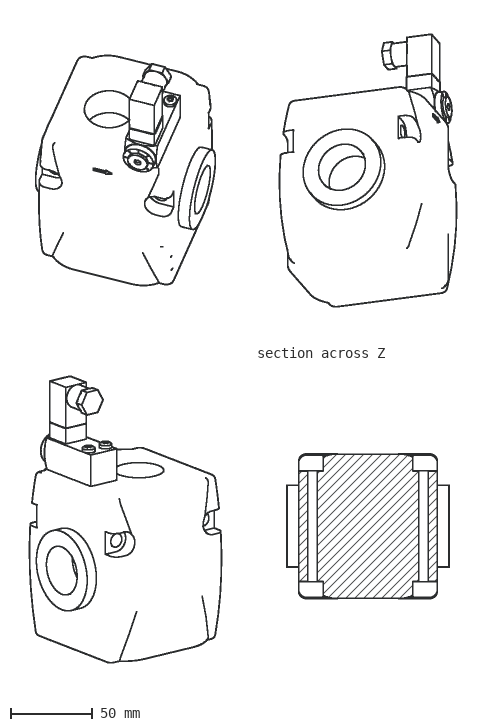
import cadquery as cq
import math

HOUSING_LENGTH = 84.7
HOUSING_DEPTH = 88.4
HOUSING_HEIGHT = 104.8
FACE_FLAT_WIDTH = 37.7
CORE_CORNER_RADIUS = 22.5
COLUMN_TAPER = 6.8
COLUMN_FILLET = 4.8
RIM_FILLET = 3.0

FLANGE_DIAMETER = 50.0
FLANGE_SPAN = 99.0
BORE_DIAMETER = 30.3
BORE_DEPTH = 20.1
TOP_BORE_X = -10.5

LUG_HOLE_DIAMETER = 8.5
LUG_POCKET_DIAMETER = 14.5
LUG_X = 33.8
LUG_Z = 24.8
LUG_POCKET_FLOOR = 33.8

ARROW_LENGTH = 11.9
ARROW_HEAD_LENGTH = 3.9
ARROW_HEAD_WIDTH = 3.5
ARROW_SHAFT_WIDTH = 1.8
ARROW_DEPTH = 0.3
ARROW_DROP = 6.6

TOTAL_HEIGHT = 161.0
TOTAL_DEPTH = 88.5
VALVE_X = 22.5
BLOCK_WIDTH = 20.3
BLOCK_HEIGHT = 20.1
BLOCK_BACK_Y = 7.2
BLOCK_FRONT_Y = -38.6
BLOCK_CHAMFER_ANGLE = 30.0

DIAL_DIAMETER = 19.5
DIAL_THICKNESS = 4.0
DIAL_MARKS = 8
MARK_WIDTH = 0.2
MARK_DEPTH = 0.2
HUB_DIAMETER = 12.5
HUB_HOLE_DIAMETER = 4.0
HUB_HOLE_DEPTH = 1.6

SCREW_MID_X = 22.2
SCREW_PITCH = 13.0
SCREW_Y = 0.2
SCREW_HEAD_DIAMETER = 7.7
SCREW_RIM_HEIGHT = 2.0
SCREW_HEAD_HEIGHT = 3.5
SOCKET_LOBES = 6
SOCKET_OUTER_DIAMETER = 4.0
SOCKET_INNER_DIAMETER = 2.9
SOCKET_DEPTH = 1.6

PLUG_Y = -28.0
PLUG_BASE_SIZE = 17.0
PLUG_BASE_HEIGHT = 9.8
PLUG_BASE_FILLET = 2.0
PLUG_SIZE = 16.0
GLAND_DIAMETER = 14.5
GLAND_NUT_BACK_Y = -4.0
GLAND_NUT_LENGTH = 5.3
GLAND_NUT_SIDES = 6

TOP_Z = HOUSING_HEIGHT / 2
FRONT_Y = -HOUSING_DEPTH / 2
HUB_FRONT_Y = HOUSING_DEPTH / 2 - TOTAL_DEPTH


def cylinder_along_y(diameter, x, z, start_y, end_y):
    """Cylinder parallel to Y between two Y positions."""
    plane = cq.Plane(origin=(x, start_y, z), xDir=(1, 0, 0), normal=(0, 1, 0))
    return cq.Workplane(plane).circle(diameter / 2).extrude(end_y - start_y)


def housing_core():
    """Rounded block with flat front and back strips."""
    width = FACE_FLAT_WIDTH + 2 * CORE_CORNER_RADIUS
    core = cq.Workplane("XY").box(width, HOUSING_DEPTH, HOUSING_HEIGHT)
    core = core.edges("|Z").fillet(CORE_CORNER_RADIUS)
    return core.faces("<Z or >Z").edges().fillet(RIM_FILLET)


def corner_columns():
    """Full-length block whose front and back faces bulge at mid height."""
    mid_y = HOUSING_DEPTH / 2
    end_y = mid_y - COLUMN_TAPER
    columns = (
        cq.Workplane("YZ")
        .moveTo(-end_y, -TOP_Z)
        .lineTo(end_y, -TOP_Z)
        .threePointArc((mid_y, 0), (end_y, TOP_Z))
        .lineTo(-end_y, TOP_Z)
        .threePointArc((-mid_y, 0), (-end_y, -TOP_Z))
        .close()
        .extrude(HOUSING_LENGTH / 2, both=True)
    )
    columns = columns.faces("<X or >X").edges("not(|Y)").fillet(COLUMN_FILLET)
    return columns.faces("<Z or >Z").edges().fillet(RIM_FILLET)


def side_flanges():
    """Pipe flanges on the two X sides, on the port axis."""
    return cq.Workplane("YZ").circle(FLANGE_DIAMETER / 2).extrude(FLANGE_SPAN / 2, both=True)


def port_bores():
    """Blind bores in both flanges and in the housing top."""
    top = cq.Workplane("XY", origin=(TOP_BORE_X, 0, TOP_Z))
    bores = top.circle(BORE_DIAMETER / 2).extrude(-BORE_DEPTH)
    for side in (-1, 1):
        end = cq.Workplane("YZ", origin=(side * FLANGE_SPAN / 2, 0, 0))
        bores = bores.union(end.circle(BORE_DIAMETER / 2).extrude(-side * BORE_DEPTH))
    return bores


def lug_cutter(side):
    """Through hole along Y with a sideways open pocket at the front and back ends."""
    x = side * LUG_X
    cutter = cylinder_along_y(LUG_HOLE_DIAMETER, x, LUG_Z, -HOUSING_DEPTH, HOUSING_DEPTH)
    pocket_length = HOUSING_DEPTH / 2
    for end in (-1, 1):
        start_y = end * LUG_POCKET_FLOOR
        end_y = start_y + end * pocket_length
        round_end = cylinder_along_y(LUG_POCKET_DIAMETER, x, LUG_Z, start_y, end_y)
        opening = cq.Workplane("XY").box(HOUSING_LENGTH, pocket_length, LUG_POCKET_DIAMETER)
        opening = opening.translate((x + side * HOUSING_LENGTH / 2, (start_y + end_y) / 2, LUG_Z))
        cutter = cutter.union(round_end).union(opening)
    return cutter


def flow_arrow():
    """Shallow arrow recess in the front face, pointing to +X."""
    tip = ARROW_LENGTH / 2
    neck = tip - ARROW_HEAD_LENGTH
    shaft = ARROW_SHAFT_WIDTH / 2
    head = ARROW_HEAD_WIDTH / 2
    lower_half = [(-tip, -shaft), (neck, -shaft), (neck, -head)]
    upper_half = [(neck, head), (neck, shaft), (-tip, shaft)]
    outline = [*lower_half, (tip, 0), *upper_half]
    face = cq.Workplane("XZ", origin=(0, FRONT_Y, TOP_Z - ARROW_DROP))
    return face.polyline(outline).close().extrude(-ARROW_DEPTH)


def make_housing():
    housing = housing_core().union(corner_columns()).union(side_flanges())
    housing = housing.cut(port_bores()).cut(flow_arrow())
    for side in (-1, 1):
        housing = housing.cut(lug_cutter(side))
    return housing


def manifold_block():
    """Square block with a conical bevel on its front end."""
    depth = BLOCK_BACK_Y - BLOCK_FRONT_Y
    mid = (VALVE_X, (BLOCK_BACK_Y + BLOCK_FRONT_Y) / 2, TOP_Z + BLOCK_HEIGHT / 2)
    block = cq.Workplane("XY").box(BLOCK_WIDTH, depth, BLOCK_HEIGHT).translate(mid)
    front_radius = BLOCK_HEIGHT / 2
    back_radius = front_radius + depth / math.tan(math.radians(BLOCK_CHAMFER_ANGLE))
    cone = cq.Solid.makeCone(
        front_radius, back_radius, depth, cq.Vector(VALVE_X, BLOCK_FRONT_Y, mid[2]), cq.Vector(0, 1, 0)
    )
    return block.intersect(cq.Workplane(cone))


def dial():
    """Disc with engraved radial marks and a raised hub on the block's front end."""
    z = TOP_Z + BLOCK_HEIGHT / 2
    face_y = BLOCK_FRONT_Y - DIAL_THICKNESS
    disc = cylinder_along_y(DIAL_DIAMETER, VALVE_X, z, BLOCK_FRONT_Y, face_y)
    marks = (
        cq.Workplane("XZ", origin=(VALVE_X, face_y, z))
        .polarArray(DIAL_DIAMETER / 4, 0, 360, DIAL_MARKS)
        .rect(DIAL_DIAMETER / 2, MARK_WIDTH)
        .extrude(-MARK_DEPTH)
    )
    hub = cylinder_along_y(HUB_DIAMETER, VALVE_X, z, BLOCK_FRONT_Y, HUB_FRONT_Y)
    hole = cylinder_along_y(HUB_HOLE_DIAMETER, VALVE_X, z, HUB_FRONT_Y, HUB_FRONT_Y + HUB_HOLE_DEPTH)
    return disc.cut(marks).union(hub).cut(hole)


def screw_head(x):
    """Domed screw head with a six-pointed socket."""
    rim_radius = SCREW_HEAD_DIAMETER / 2
    dome_height = SCREW_HEAD_HEIGHT - SCREW_RIM_HEIGHT
    dome_radius = (rim_radius**2 + dome_height**2) / (2 * dome_height)
    base = cq.Workplane("XY", origin=(x, SCREW_Y, TOP_Z + BLOCK_HEIGHT))
    head = base.circle(rim_radius).extrude(SCREW_HEAD_HEIGHT)
    dome = base.workplane(offset=SCREW_HEAD_HEIGHT - dome_radius).sphere(dome_radius)
    head = head.intersect(dome)
    star = []
    for corner in range(2 * SOCKET_LOBES):
        radius = (SOCKET_INNER_DIAMETER if corner % 2 else SOCKET_OUTER_DIAMETER) / 2
        angle = math.pi / 2 + corner * math.pi / SOCKET_LOBES
        star.append((radius * math.cos(angle), radius * math.sin(angle)))
    socket = base.workplane(offset=SCREW_HEAD_HEIGHT).polyline(star).close().extrude(-SOCKET_DEPTH)
    return head.cut(socket)


def plug():
    """Square connector on a rounded base, with a cable gland pointing to +Y."""
    base_z = TOP_Z + BLOCK_HEIGHT
    plug_top = TOTAL_HEIGHT - HOUSING_HEIGHT / 2
    base = cq.Workplane("XY", origin=(VALVE_X, PLUG_Y, base_z))
    foot = base.rect(PLUG_BASE_SIZE, PLUG_BASE_SIZE).extrude(PLUG_BASE_HEIGHT)
    foot = foot.edges("|Z").fillet(PLUG_BASE_FILLET)
    body = base.rect(PLUG_SIZE, PLUG_SIZE).extrude(plug_top - base_z)
    gland_z = plug_top - GLAND_DIAMETER / 2
    gland = cylinder_along_y(GLAND_DIAMETER, VALVE_X, gland_z, PLUG_Y, GLAND_NUT_BACK_Y)
    corner_diameter = GLAND_DIAMETER / math.cos(math.pi / GLAND_NUT_SIDES)
    nut = (
        cq.Workplane("XZ", origin=(VALVE_X, GLAND_NUT_BACK_Y, gland_z))
        .polygon(GLAND_NUT_SIDES, corner_diameter)
        .extrude(GLAND_NUT_LENGTH)
    )
    return foot.union(body).union(gland).union(nut)


def make_pilot_valve():
    valve = manifold_block().union(dial()).union(plug())
    for side in (-1, 1):
        valve = valve.union(screw_head(SCREW_MID_X + side * SCREW_PITCH / 2))
    return valve


housing = make_housing()
pilot_valve = make_pilot_valve()
result = cq.Compound.makeCompound([housing.val(), pilot_valve.val()])